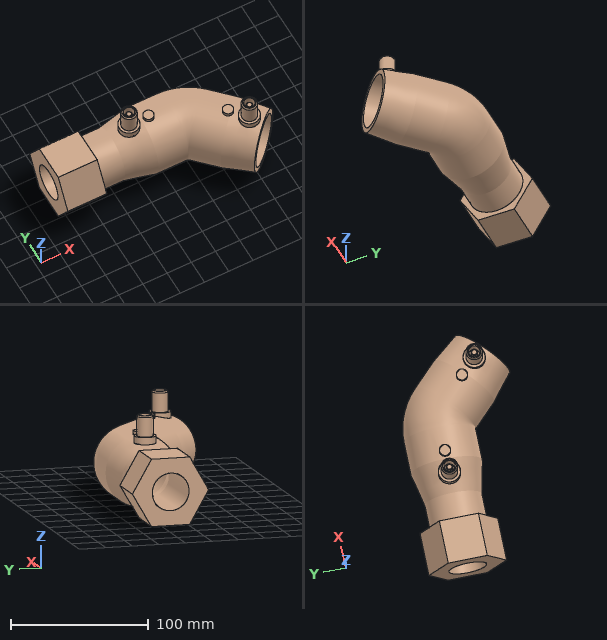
import cadquery as cq
import math

HEX_ACROSS_FLATS = 50.1
HEX_LENGTH = 32.2

NECK_END_X = 51.8
CONE_END_X = 76.5
BEND_START_X = 101.0
NECK_RADIUS = 21.3
BODY_RADIUS = 26.6

BEND_ANGLE = 45
INSIDE_BEND_RADIUS = 0.2
BEND_RADIUS = BODY_RADIUS + INSIDE_BEND_RADIUS
LEG_BODY_LENGTH = 24.5
LEG_LENGTH = 48.9
OUTLET_RADIUS = 24.0

INLET_BORE_RADIUS = 13.9
OUTLET_BORE_RADIUS = 20.0

TOP_Z = 43.9
COLLAR_TOP_Z = 28.5
COLLAR_RADIUS = 8.0
POST_RADIUS = 6.0
POST_CHAMFER = 1.0
SOCKET_RADIUS = 4.1
SOCKET_DEPTH = 10.3
PIN_RADIUS = 2.4
PIN_CHAMFER = 0.5
PIN_TOP_DROP = 2.5
INDICATOR_RADIUS = 4.1
INDICATOR_TOP_Z = 29.0
INLET_TERMINAL_X = 66.4
OUTLET_TERMINAL_DISTANCE = 38.0
INDICATOR_SPACING = 16.1
ROOT_Z = 23.2


def turned(profile):
    """Solid of revolution about X from (x, radius) points, closed on the axis."""
    points = [(profile[0][0], 0)] + profile + [(profile[-1][0], 0)]
    return cq.Workplane("XY").polyline(points).close().revolve(360, (0, 0, 0), (1, 0, 0))


def bend(radius):
    """Pipe elbow of the given radius, turning from +X towards -Y."""
    return (
        cq.Workplane("YZ", origin=(BEND_START_X, 0, 0))
        .circle(radius)
        .revolve(BEND_ANGLE, (-BEND_RADIUS, 0, 0), (-BEND_RADIUS, -1, 0))
    )


def leg_point(distance):
    """X and Y on the leg axis at a distance from the end of the bend."""
    angle = math.radians(BEND_ANGLE)
    x = BEND_START_X + BEND_RADIUS * math.sin(angle) + distance * math.cos(angle)
    y = -BEND_RADIUS * (1 - math.cos(angle)) - distance * math.sin(angle)
    return x, y


def on_leg(solid):
    """Move a solid built along +X from the origin onto the leg axis."""
    return solid.rotate((0, 0, 0), (0, 0, 1), -BEND_ANGLE).translate((*leg_point(0), 0))


def upright(x, y, radius, bottom, top):
    """Vertical cylinder between two heights."""
    return cq.Workplane("XY", origin=(x, y, bottom)).circle(radius).extrude(top - bottom)


def terminal(x, y):
    """Collared post with a chamfered rim and a contact pin inside its socket."""
    socket_floor = TOP_Z - SOCKET_DEPTH
    collar = upright(x, y, COLLAR_RADIUS, ROOT_Z, COLLAR_TOP_Z)
    post = upright(x, y, POST_RADIUS, ROOT_Z, TOP_Z).faces(">Z").chamfer(POST_CHAMFER)
    socket = upright(x, y, SOCKET_RADIUS, socket_floor, TOP_Z)
    pin = upright(x, y, PIN_RADIUS, ROOT_Z, TOP_Z - PIN_TOP_DROP).faces(">Z").chamfer(PIN_CHAMFER)
    return collar.union(post).cut(socket).union(pin)


def indicator(x, y):
    """Short round fusion indicator."""
    return upright(x, y, INDICATOR_RADIUS, ROOT_Z, INDICATOR_TOP_Z)


nut = (
    cq.Workplane("YZ")
    .polygon(6, HEX_ACROSS_FLATS / math.cos(math.radians(30)))
    .extrude(HEX_LENGTH)
)
inlet = turned([
    (0, NECK_RADIUS),
    (NECK_END_X, NECK_RADIUS),
    (CONE_END_X, BODY_RADIUS),
    (BEND_START_X, BODY_RADIUS),
])
leg = on_leg(turned([
    (0, BODY_RADIUS),
    (LEG_BODY_LENGTH, BODY_RADIUS),
    (LEG_LENGTH, OUTLET_RADIUS),
]))
result = nut.union(inlet).union(bend(BODY_RADIUS)).union(leg)

result = result.union(terminal(INLET_TERMINAL_X, 0))
result = result.union(indicator(INLET_TERMINAL_X + INDICATOR_SPACING, 0))
result = result.union(terminal(*leg_point(OUTLET_TERMINAL_DISTANCE)))
result = result.union(indicator(*leg_point(OUTLET_TERMINAL_DISTANCE - INDICATOR_SPACING)))

inlet_bore = turned([
    (0, INLET_BORE_RADIUS),
    (NECK_END_X, INLET_BORE_RADIUS),
    (CONE_END_X, OUTLET_BORE_RADIUS),
    (BEND_START_X, OUTLET_BORE_RADIUS),
])
leg_bore = on_leg(turned([(0, OUTLET_BORE_RADIUS), (LEG_LENGTH, OUTLET_BORE_RADIUS)]))
result = result.cut(inlet_bore).cut(bend(OUTLET_BORE_RADIUS)).cut(leg_bore)